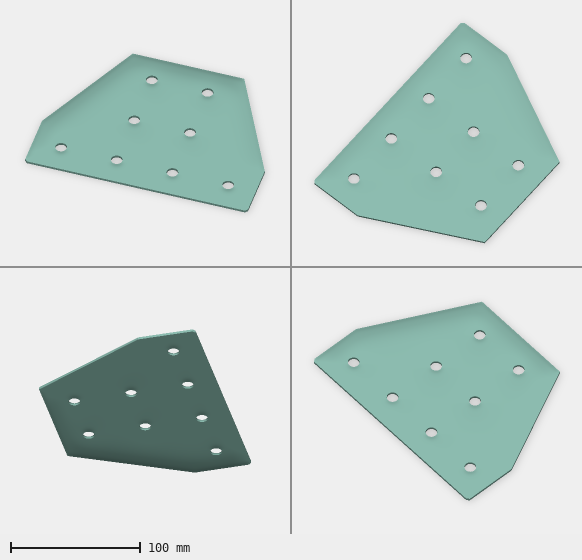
import cadquery as cq

pitch = 45.0
thickness = 2.0
hole_diameter = 9.0
corner_chamfer = 2.0

base_width = 4 * pitch
top_width = 2 * pitch
depth = 3 * pitch
shoulder_height = pitch


def make_plate():
    """Flat plate with a wide base, a tapered top and chamfered base corners."""
    half_base = base_width / 2
    half_top = top_width / 2
    outline = [
        (-half_base, 0),
        (half_base, 0),
        (half_base, shoulder_height),
        (half_top, depth),
        (-half_top, depth),
        (-half_base, shoulder_height),
    ]
    plate = cq.Workplane("XY").polyline(outline).close().extrude(thickness)
    return plate.edges("|Z and <Y").chamfer(corner_chamfer)


def hole_centers():
    """Four holes along the base and two in each row above, on one square grid."""
    centers = []
    for row, count in enumerate([4, 2, 2]):
        y = (row + 0.5) * pitch
        for column in range(count):
            x = (column - (count - 1) / 2) * pitch
            centers.append((x, y))
    return centers


holes = cq.Workplane("XY").pushPoints(hole_centers()).circle(hole_diameter / 2).extrude(thickness)
result = make_plate().cut(holes)